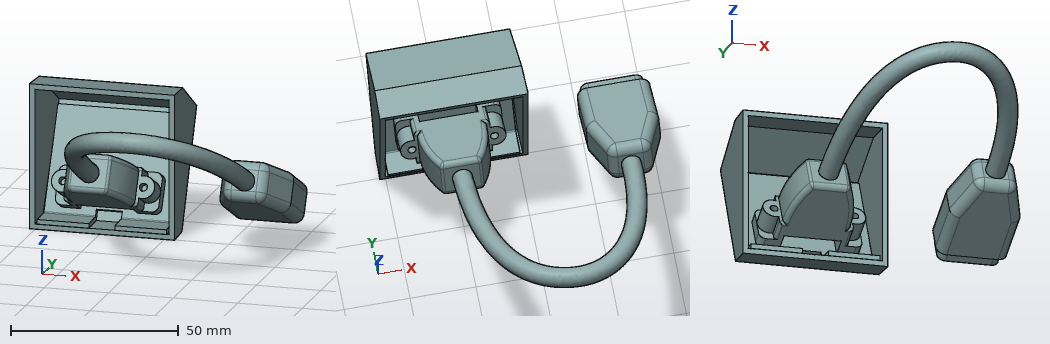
import cadquery as cq
import math

HOUSING_SIZE = 45.0
HOUSING_DRAFT = 1.5
WALL = 1.65
BACK_SLOPE = 27.0
BACK_FOOT_Y = 8.9
BACK_LENGTH = 38.4
ROOF_SLOPE = 31.4
MARGIN = 18.3

LINER_WIDTH = 40.0
LINER_THICKNESS = 1.5
LINER_TOP = 35.1
LINER_FRONT_Y = -0.2
LINER_BEND_RADIUS = 0.5
LINER_NOTCH_WIDTH = 8.1
LINER_NOTCH_TOP = 4.1

CONNECTOR_CENTER = 10.0
CONNECTOR_HEIGHT = 12.1
FLANGE_WIDTH = 32.1
FLANGE_THICKNESS = 3.7
FLANGE_CORNER_RADIUS = 2.0
BLOCK_WIDTH = 23.0
BLOCK_TOP = 10.6
BLOCK_EDGE_RADIUS = 1.0
FOOT_GAP_WIDTH = 17.8
FOOT_GAP_HEIGHT = 5.5
BOSS_SPACING = 25.0
BOSS_RADIUS = 3.5
BOSS_HOLE_RADIUS = 1.2
BOSS_HOLE_DEPTH = 2.6
HOOD_WIDTH = 21.0
HOOD_END_WIDTH = 12.0
HOOD_LENGTH = 16.7
HOOD_END = BLOCK_TOP + HOOD_LENGTH
HOOD_RIM_RADIUS = 1.65
HOOD_END_RADIUS = 1.0

CABLE_RADIUS = 3.0
CABLE_LEVEL = 10.0
CABLE_BEND_X = 26.8
CABLE_REACH = 82.0

PLUG_X = 50.0
PLUG_WIDTH = 22.0
PLUG_HEIGHT = 12.55
PLUG_LEVEL = 10.3
PLUG_END_WIDTH = 12.0
PLUG_BACK = 3.85
PLUG_TAPER_START = 20.0
PLUG_END = 34.3
PLUG_RADIUS = 3.0
TIP_INSET = 1.5
TIP_LENGTH = 4.0
TIP_RADIUS = 2.5

LEAN_SIN = math.sin(math.radians(BACK_SLOPE))
LEAN_COS = math.cos(math.radians(BACK_SLOPE))
DRAFT_TAN = math.tan(math.radians(HOUSING_DRAFT))
DRAFT_COS = math.cos(math.radians(HOUSING_DRAFT))
BACK_FOOT_Z = BACK_FOOT_Y * DRAFT_TAN
LINER_SURFACE = WALL + LINER_THICKNESS


def slope_point(along, out):
    """(Y, Z) of a point up the sloped back and out from its outer face."""
    return (
        BACK_FOOT_Y + along * LEAN_SIN - out * LEAN_COS,
        BACK_FOOT_Z + along * LEAN_COS + out * LEAN_SIN,
    )


def bottom_point(y, inset):
    """(Y, Z) of a point at a given depth inside the drafted bottom face."""
    return (y, y * DRAFT_TAN + inset / DRAFT_COS)


def bottom_corner(inset):
    """(Y, Z) where the offset bottom face meets the offset sloped back."""
    y0, z0 = slope_point(0, inset)
    rise = bottom_point(y0, inset)[1] - z0
    along = rise / (LEAN_COS - LEAN_SIN * DRAFT_TAN)
    return slope_point(along, inset)


def slope_plane(along, out):
    """Work plane parallel to the back: local y up the slope, local z out of it."""
    y, z = slope_point(along, out)
    return cq.Plane(origin=(0, y, z), xDir=(1, 0, 0), normal=(0, -LEAN_COS, LEAN_SIN))


def seated(part):
    """Solid of a part drawn on the XY plane, moved so that this plane is the liner surface."""
    return part.val().moved(slope_plane(0, LINER_SURFACE).location)


def housing_form(inset):
    """Drafted box trimmed by the sloped back and roof, all faces but the front inset."""
    front = cq.Plane(origin=(0, 0, HOUSING_SIZE / 2), xDir=(1, 0, 0), normal=(0, 1, 0))
    side = HOUSING_SIZE - 2 * inset / DRAFT_COS
    box = cq.Workplane(front).rect(side, side).extrude(HOUSING_SIZE, taper=HOUSING_DRAFT)
    apex_y, apex_z = slope_point(BACK_LENGTH, 0)
    roof_rise = (apex_y + MARGIN) * math.tan(math.radians(ROOF_SLOPE))
    trim = (
        cq.Workplane("YZ")
        .polyline(
            [
                (-MARGIN, -MARGIN),
                slope_point(-MARGIN, 0),
                (apex_y, apex_z),
                (-MARGIN, apex_z + roof_rise),
            ]
        )
        .close()
    )
    if inset:
        trim = trim.offset2D(-inset)
    return box.intersect(trim.extrude(HOUSING_SIZE, both=True))


def make_housing():
    return housing_form(0).cut(housing_form(WALL))


def make_liner():
    """L-shaped sheet with a filleted inner bend and a notch at the middle of the bend."""
    profile = [
        bottom_point(LINER_FRONT_Y, WALL),
        bottom_corner(WALL),
        slope_point(LINER_TOP, WALL),
        slope_point(LINER_TOP, LINER_SURFACE),
        bottom_corner(LINER_SURFACE),
        bottom_point(LINER_FRONT_Y, LINER_SURFACE),
    ]
    liner = cq.Workplane("YZ").polyline(profile).close().extrude(LINER_WIDTH / 2, both=True)
    bend_y, bend_z = bottom_corner(LINER_SURFACE)
    bend = cq.selectors.NearestToPointSelector((0, bend_y, bend_z))
    liner = liner.edges("|X").edges(bend).fillet(LINER_BEND_RADIUS)
    notch = (
        cq.Workplane(slope_plane(LINER_NOTCH_TOP - MARGIN / 2, WALL))
        .rect(LINER_NOTCH_WIDTH, MARGIN)
        .extrude(MARGIN)
    )
    return liner.cut(notch)


def make_base():
    """Flanged block with a boss at each end."""
    flange = (
        cq.Workplane("XY")
        .rect(FLANGE_WIDTH, CONNECTOR_HEIGHT)
        .extrude(FLANGE_THICKNESS)
        .edges("|Z")
        .fillet(FLANGE_CORNER_RADIUS)
    )
    block = (
        cq.Workplane("XY")
        .rect(BLOCK_WIDTH, CONNECTOR_HEIGHT)
        .extrude(BLOCK_TOP)
        .edges("|Z or (|X and >Z)")
        .fillet(BLOCK_EDGE_RADIUS)
    )
    boss_centers = [(-BOSS_SPACING / 2, 0), (BOSS_SPACING / 2, 0)]
    bosses = cq.Workplane("XY").pushPoints(boss_centers).circle(BOSS_RADIUS).extrude(BLOCK_TOP)
    holes = (
        cq.Workplane("XY")
        .workplane(offset=BLOCK_TOP - BOSS_HOLE_DEPTH)
        .pushPoints(boss_centers)
        .circle(BOSS_HOLE_RADIUS)
        .extrude(2 * BOSS_HOLE_DEPTH)
    )
    return flange.union(block).union(bosses).cut(holes)


def make_hood():
    """Hood whose sides leave the base square and curve in to a narrow end."""
    drop = (HOOD_WIDTH - HOOD_END_WIDTH) / 2
    radius = (HOOD_LENGTH**2 + drop**2) / (2 * drop)
    mid_drop = radius - math.sqrt(radius**2 - (HOOD_LENGTH / 2) ** 2)
    base = HOOD_WIDTH / 2
    mid = base - mid_drop
    end = HOOD_END_WIDTH / 2
    mid_z = BLOCK_TOP + HOOD_LENGTH / 2
    hood = (
        cq.Workplane("XZ")
        .moveTo(base, 0)
        .lineTo(base, BLOCK_TOP)
        .threePointArc((mid, mid_z), (end, HOOD_END))
        .lineTo(-end, HOOD_END)
        .threePointArc((-mid, mid_z), (-base, BLOCK_TOP))
        .lineTo(-base, 0)
        .close()
        .extrude(CONNECTOR_HEIGHT / 2, both=True)
    )
    hood = hood.edges("|Y and >Z").fillet(HOOD_END_RADIUS)
    rim = cq.selectors.BoxSelector(
        (-HOOD_WIDTH, -HOOD_WIDTH, BLOCK_TOP + HOOD_END_RADIUS),
        (HOOD_WIDTH, HOOD_WIDTH, 2 * HOOD_END),
    )
    return hood.faces("<Y or >Y").edges(rim).fillet(HOOD_RIM_RADIUS)


def make_connector():
    """Base and hood in one, standing on two feet."""
    foot_gap = (
        cq.Workplane("XY")
        .rect(FOOT_GAP_WIDTH, 2 * CONNECTOR_HEIGHT)
        .extrude(FOOT_GAP_HEIGHT)
    )
    connector = make_base().union(make_hood()).cut(foot_gap)
    return connector.translate((0, CONNECTOR_CENTER, 0))


def make_cable():
    """Round cable looping from the hood end to the plug end."""
    start = (0, HOOD_END)
    bend = (CABLE_BEND_X, CABLE_REACH)
    finish = (PLUG_X, PLUG_END)
    path = cq.Workplane("XZ", origin=(0, CABLE_LEVEL, 0)).spline(
        [start, bend, finish], tangents=[(0, 1), (1, 0), (0, -1)]
    )
    section = cq.Workplane("XY", origin=(0, CABLE_LEVEL, HOOD_END)).circle(CABLE_RADIUS)
    return section.sweep(path)


def make_plug():
    """Plug body tapering to the cable, rounded everywhere but at its back."""
    half = PLUG_WIDTH / 2
    end = PLUG_END_WIDTH / 2
    plug = (
        cq.Workplane("XZ")
        .polyline(
            [
                (half, PLUG_BACK),
                (half, PLUG_TAPER_START),
                (end, PLUG_END),
                (-end, PLUG_END),
                (-half, PLUG_TAPER_START),
                (-half, PLUG_BACK),
            ]
        )
        .close()
        .extrude(PLUG_HEIGHT / 2, both=True)
    )
    plug = plug.edges("not <Z").edges("not(|Y and (<X or >X))").fillet(PLUG_RADIUS)
    return plug.translate((PLUG_X, PLUG_LEVEL, 0))


def make_plug_tip():
    """Narrower nose on the back of the plug."""
    return (
        cq.Workplane("XY", origin=(PLUG_X, PLUG_LEVEL, PLUG_BACK - TIP_LENGTH))
        .rect(PLUG_WIDTH - 2 * TIP_INSET, PLUG_HEIGHT - 2 * TIP_INSET)
        .extrude(TIP_LENGTH)
        .edges("|Z")
        .fillet(TIP_RADIUS)
    )


housing = make_housing()
liner = make_liner()
connector = seated(make_connector())
cable = seated(make_cable())
plug = seated(make_plug())
plug_tip = seated(make_plug_tip())

result = cq.Compound.makeCompound([housing.val(), liner.val(), connector, cable, plug, plug_tip])